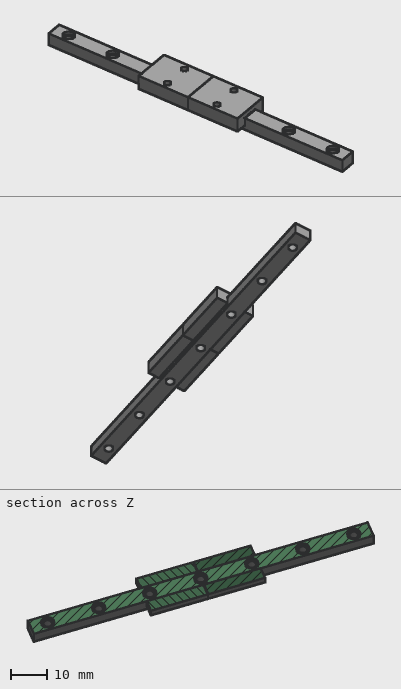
import cadquery as cq

rail_length = 100.0
rail_width = 5.0
rail_height = 4.0

rail_hole_count = 7
rail_hole_pitch = 15.0
rail_hole_diameter = 2.4
counterbore_diameter = 3.5
counterbore_depth = 1.0

carriage_length = 16.8
carriage_width = 12.0
carriage_bottom = 1.5
carriage_top = 6.0
carriage_height = carriage_top - carriage_bottom
carriage_gap = 0.05
carriage_offset = (carriage_length + carriage_gap) / 2

carriage_hole_diameter = 2.0
carriage_hole_spacing = 8.0
carriage_hole_depth = 1.5


def make_rail():
    """Rectangular rail with a row of counterbored through holes."""
    blank = cq.Workplane("XY").box(
        rail_length, rail_width, rail_height, centered=(True, True, False)
    )
    return (
        blank.faces(">Z").workplane()
        .rarray(rail_hole_pitch, 1, rail_hole_count, 1)
        .cboreHole(rail_hole_diameter, counterbore_diameter, counterbore_depth)
    )


def make_carriage(center_x):
    """Block that straddles the rail, with two blind holes in its top."""
    block = (
        cq.Workplane("XY", origin=(center_x, 0, carriage_bottom))
        .box(carriage_length, carriage_width, carriage_height, centered=(True, True, False))
    )
    rail_channel = (
        cq.Workplane("XY", origin=(center_x, 0, 0))
        .box(carriage_length, rail_width, rail_height, centered=(True, True, False))
    )
    return (
        block.cut(rail_channel)
        .faces(">Z").workplane(origin=(center_x, 0, carriage_top))
        .rarray(1, carriage_hole_spacing, 1, 2)
        .hole(carriage_hole_diameter, carriage_hole_depth)
    )


rail = make_rail()
carriages = [make_carriage(side * carriage_offset) for side in (-1, 1)]

result = cq.Compound.makeCompound([rail.val(), *[carriage.val() for carriage in carriages]])